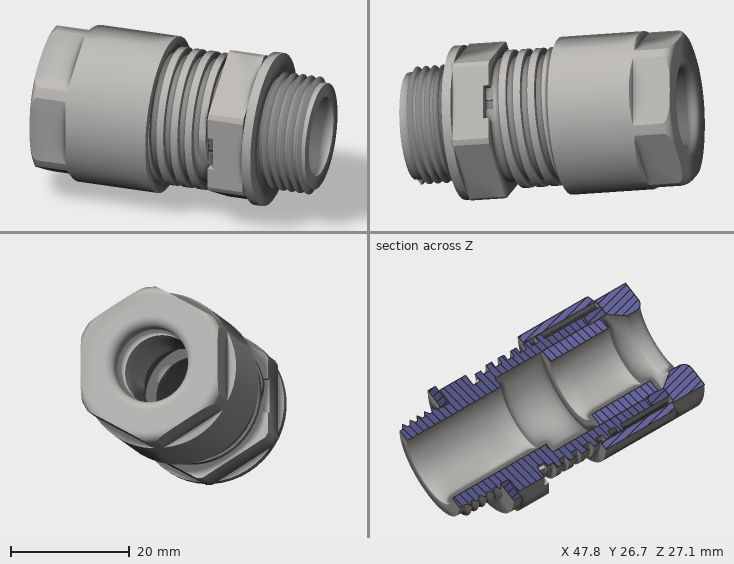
import cadquery as cq
import math


total_length = 47.8
hex_across_flats = 24.0
sleeve_bore_diameter = 17.3
cutter_margin = 2.4

nut_length = 20.95
nut_diameter = 26.7
nut_edge_radius = 1.5
nut_entry_diameter = 12.9
nut_entry_radius = 1.6
nut_entry_length = 3.4
nut_cone_end = 6.2
nut_bore_diameter = 23.5
nut_flat_length = 6.4
nut_shoulder_rise = 0.4

core_start = 9.55
core_diameter = 21.1
hex_start = 31.55
hex_end = 37.75
hex_corner_diameter = 27.15
neck_diameter = 18.15
neck_bore_diameter = 13.55
bore_step_x = 28.7

nut_thread_diameter = 23.4
nut_thread_four_turns = 10.0
nut_thread_pitch = nut_thread_four_turns / 4
nut_thread_width = 1.2
nut_thread_phase_x = 21.75
nut_thread_start_turn = -2
nut_thread_end_turn = 3.55

runout_turn = 3
runout_top_z = 2.1
runout_bulge = (-11.42, 0.65)
runout_bend = (-11, -0.8)
runout_foot = (-9.6, -4.3)

entry_thread_diameter = 20.0
entry_thread_four_turns = 5.98
entry_thread_pitch = entry_thread_four_turns / 4
entry_thread_angle = 60
entry_thread_phase_x = 39.95
entry_thread_start_turn = -1
entry_thread_end_turn = 4.71

joint_burial = 0.25

notch_start = 31.1
notch_end = 32.45
notch_height = 5.75
notch_floor = 10.15
slot_height = 1.63
slot_floor = 9.65

tooth_length = 0.7
tooth_height = 0.7
tooth_rise = 0.4

washer_start = 37.9
washer_end = 39.45
washer_diameter = 26.1

seal_start = 7.15
seal_end = 19.1
seal_bore_diameter = 12.4


def disc(start, end, diameter):
    return cq.Workplane("YZ", origin=(start, 0, 0)).circle(diameter / 2).extrude(end - start)


def sleeve(start, end, outer_diameter, inner_diameter):
    return disc(start, end, outer_diameter).cut(disc(start, end, inner_diameter))


def hexagon(start, end):
    """Hexagonal prism with two flats facing along Y and two corners along Z."""
    corner_distance = hex_across_flats / math.sqrt(3)
    angles = [math.radians(60 * i) for i in range(6)]
    corners = [(corner_distance * math.sin(a), corner_distance * math.cos(a)) for a in angles]
    return cq.Workplane("YZ", origin=(start, 0, 0)).polyline(corners).close().extrude(end - start)


def helical_ridge(section, pitch, phase_x, start_turn, end_turn):
    """Right-handed ridge whose middle crosses the +Y side at phase_x on turn zero.

    section lists the (radius, axial offset) corners, starting at the buried root.
    """
    root_radius = section[0][0]
    turns = end_turn - start_turn
    helix = cq.Wire.makeHelix(pitch, turns * pitch, root_radius)
    ridge = cq.Workplane("XZ").polyline(section).close().sweep(cq.Workplane(helix), isFrenet=True)
    ridge = ridge.rotate((0, 0, 0), (0, 0, 1), 360 * start_turn)
    ridge = ridge.rotate((0, 0, 0), (1, 1, 1), 120)
    return ridge.translate((phase_x + start_turn * pitch, 0, 0))


def nut_bore():
    """Straight entry, widening cone and wide thread bore as one revolved cutter."""
    profile = [
        (0, 0),
        (0, nut_entry_diameter / 2),
        (nut_entry_length, nut_entry_diameter / 2),
        (nut_cone_end, sleeve_bore_diameter / 2),
        (nut_cone_end, nut_bore_diameter / 2),
        (nut_length, nut_bore_diameter / 2),
        (nut_length, 0),
    ]
    return cq.Workplane("XY").polyline(profile).close().revolve(360, (0, 0, 0), (1, 0, 0))


def nut_flat_cutter():
    """Stock outside the +Y wrench flat, ending in a leaning shoulder."""
    flat = hex_across_flats / 2
    shoulder_slope = nut_shoulder_rise / (nut_diameter / 2 - flat)
    profile = [
        (-cutter_margin, flat),
        (nut_flat_length, flat),
        (nut_flat_length + cutter_margin * shoulder_slope, flat + cutter_margin),
        (-cutter_margin, flat + cutter_margin),
    ]
    return cq.Workplane("XY").polyline(profile).close().extrude(nut_diameter / 2, both=True)


def make_nut():
    blank = disc(0, nut_length, nut_diameter).faces("<X").edges().fillet(nut_edge_radius)
    nut = blank.cut(nut_bore())
    entry_rim = cq.selectors.RadiusNthSelector(0)
    nut = nut.faces("<X").edges(entry_rim).fillet(nut_entry_radius)
    flat_cutter = nut_flat_cutter()
    for i in range(6):
        nut = nut.cut(flat_cutter.rotate((0, 0, 0), (1, 0, 0), 60 * i))
    return nut


def nut_thread_runout():
    """Stock outside the sloping end of the nut thread."""
    crest_radius = nut_thread_diameter / 2
    runout_start = nut_thread_phase_x + runout_turn * nut_thread_pitch
    outside = -crest_radius - cutter_margin
    return (
        cq.Workplane("YZ", origin=(runout_start, 0, 0))
        .moveTo(-math.sqrt(crest_radius**2 - runout_top_z**2), runout_top_z)
        .threePointArc(runout_bulge, runout_bend)
        .lineTo(*runout_foot)
        .lineTo(outside, runout_foot[1])
        .lineTo(outside, runout_top_z)
        .close()
        .extrude(hex_start - runout_start)
    )


def make_nut_thread():
    root_radius = core_diameter / 2 - joint_burial
    crest_radius = nut_thread_diameter / 2
    half_width = nut_thread_width / 2
    section = [
        (root_radius, -half_width),
        (crest_radius, -half_width),
        (crest_radius, half_width),
        (root_radius, half_width),
    ]
    ridge = helical_ridge(
        section, nut_thread_pitch, nut_thread_phase_x, nut_thread_start_turn, nut_thread_end_turn
    )
    return ridge.cut(nut_thread_runout())


def make_entry_thread():
    root_radius = neck_diameter / 2 - joint_burial
    crest_radius = entry_thread_diameter / 2
    half_width = (crest_radius - root_radius) * math.tan(math.radians(entry_thread_angle / 2))
    section = [(root_radius, -half_width), (crest_radius, 0), (root_radius, half_width)]
    return helical_ridge(
        section, entry_thread_pitch, entry_thread_phase_x, entry_thread_start_turn, entry_thread_end_turn
    )


def make_threaded_neck():
    """Neck whose thread starts flush with the washer face."""
    neck = disc(hex_end, total_length, neck_diameter).union(make_entry_thread(), clean=False)
    return neck.cut(sleeve(hex_end, washer_end, washer_diameter, neck_diameter), clean=False)


def notch_box(floor, height):
    length = notch_end - notch_start
    depth = hex_corner_diameter / 2 - floor
    center = (notch_start + length / 2, floor + depth / 2, 0)
    return cq.Workplane("XY").box(length, depth, height).translate(center)


def make_tooth():
    """Wedge standing on the slot floor, sloping down to its lower edge."""
    bottom_z = -slot_height / 2
    top_z = bottom_z + tooth_height
    profile = [
        (-slot_floor + joint_burial, bottom_z),
        (-slot_floor, bottom_z),
        (-slot_floor - tooth_rise, top_z),
        (-slot_floor + joint_burial, top_z),
    ]
    return cq.Workplane("YZ", origin=(notch_start, 0, 0)).polyline(profile).close().extrude(tooth_length)


def make_body():
    core = disc(core_start, hex_start, core_diameter).union(make_nut_thread(), clean=False)
    hex_disc = disc(hex_start, hex_end, hex_corner_diameter)
    body = core.union(hexagon(hex_start, hex_end).intersect(hex_disc), clean=False)
    body = body.union(make_threaded_neck(), clean=False)
    notch = notch_box(notch_floor, notch_height).union(notch_box(slot_floor, slot_height))
    body = body.cut(notch, clean=False).cut(notch.mirror("XZ"), clean=False)
    body = body.union(make_tooth(), clean=False)
    body = body.cut(disc(core_start, bore_step_x, sleeve_bore_diameter), clean=False)
    return body.cut(disc(bore_step_x, total_length, neck_bore_diameter), clean=False)


def make_washer():
    return sleeve(washer_start, washer_end, washer_diameter, neck_diameter)


def make_seal():
    return sleeve(seal_start, seal_end, sleeve_bore_diameter, seal_bore_diameter)


def make_clamping_ring():
    """Ring between the nut's inner shoulder and the end of the body."""
    return sleeve(nut_cone_end, core_start, core_diameter, sleeve_bore_diameter)


nut = make_nut()
body = make_body()
washer = make_washer()
seal = make_seal()
clamping_ring = make_clamping_ring()

result = cq.Compound.makeCompound(
    [nut.val(), body.val(), washer.val(), seal.val(), clamping_ring.val()]
)